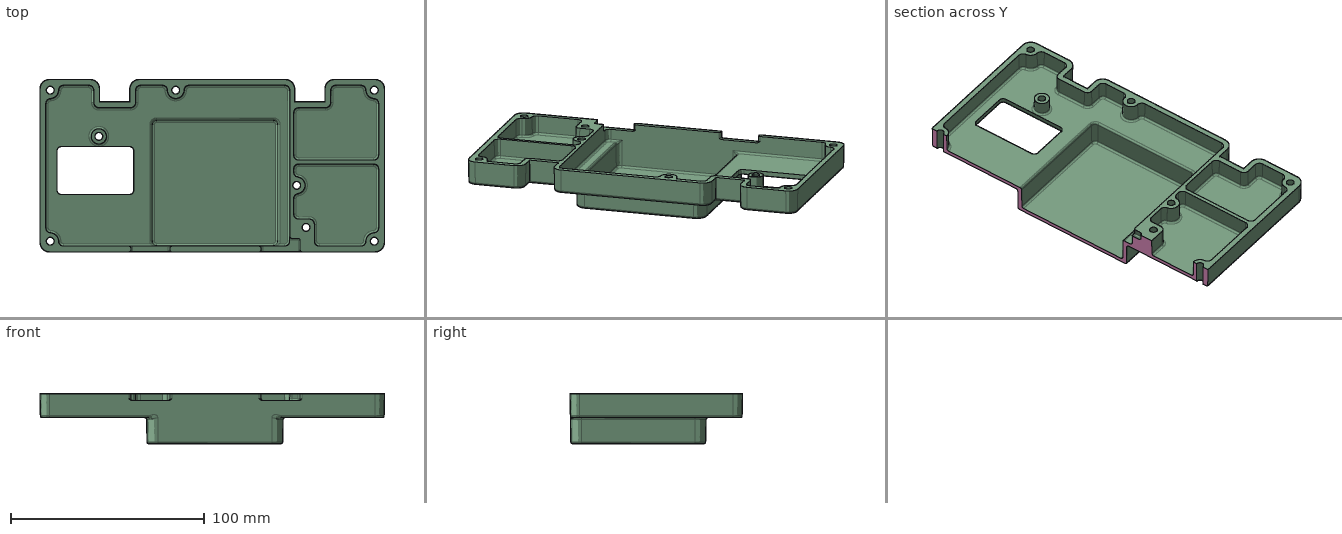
import cadquery as cq
length = 177.8
width = 89.0
total_height = 26.0
plate_height = 12.5

draft = 1.0
edge_round = 1.0
outer_corner = 5.0
pocket_corner = 2.7
wall = 3.0
divider = 2.0
floor = 2.5

notch_x = 50.3
notch_width = 15.5
notch_depth = 11.5

hole_diameter = 4.0
boss_radius = 4.3
corner_hole_x = 83.5
edge_hole_y = 39.0
corner_holes = [(x, y) for x in (-corner_hole_x, corner_hole_x) for y in (-edge_hole_y, edge_hole_y)]
back_hole = (-18.8, edge_hole_y)
divider_hole = (43.5, -10.1)
block_hole = (48.4, -31.8)

post_center = (-58.5, 15.1)
post_radius = 4.0
post_drop = 2.5

window_center = (-60.3, -2.5)
window_size = (40.0, 25.0)
window_corner = 2.5

well_left = -31.3
well_right = 34.1
well_back = 23.8
bulge_left = -34.1
bulge_right = 36.8
bulge_back = 26.0
bulge_corner = 6.0

main_right = 40.0
cross_divider_back = 2.8

opening_depth = 3.5
left_opening = (-42.0, -21.9)
right_opening = (25.2, 45.3)
right_opening_back = -37.5
stub_round = 1.0
opening_floor_round = 0.9

half_l = length / 2
half_w = width / 2
inner_x = half_l - wall
inner_y = half_w - wall
overrun = 1.8
left_opening_back = -inner_y + overrun
pocket_depth = plate_height - floor
well_depth = total_height - floor
right_pocket_left = main_right + divider


def rectangle(x0, x1, y0, y1):
    """Sketch of an upright rectangle given by its limits."""
    return cq.Sketch().push([((x0 + x1) / 2, (y0 + y1) / 2)]).rect(x1 - x0, y1 - y0).reset()


def cut_notch(sketch, x, clearance=0):
    """Take a notch, grown by a clearance, out of a sketch."""
    size = (notch_width + 2 * clearance, 2 * (notch_depth + clearance))
    return sketch.push([(x, half_w)]).rect(*size, mode="s").reset()


def drop(sketch, depth):
    """Solid running down from the rim and narrowing by the draft."""
    return cq.Workplane("XY").placeSketch(sketch).extrude(-depth, taper=draft)


def drop_straight(sketch, depth):
    """Solid running straight down from the rim."""
    return cq.Workplane("XY").placeSketch(sketch).extrude(-depth)


def plate():
    outline = rectangle(-half_l, half_l, -half_w, half_w)
    for x in (-notch_x, notch_x):
        outline = cut_notch(outline, x)
    outline = outline.vertices("<Y or >Y").fillet(outer_corner).reset()
    return drop(outline, plate_height)


def bulge():
    outline = rectangle(bulge_left, bulge_right, -half_w, bulge_back)
    return drop(outline.vertices().fillet(bulge_corner).reset(), total_height)


def edges_at_depth(body, depth, x0=-half_l, x1=half_l, y0=-half_w, y1=half_w):
    """Edges centred at a depth below the rim and within limits in plan."""
    slack = 0.09
    low = (x0, y0, -depth - slack)
    high = (x1, y1, -depth + slack)
    return body.edges(cq.selectors.BoxSelector(low, high))


def outer_body():
    """Plate and bulge with their undersides rounded and blended together."""
    body = plate().union(bulge())
    body = edges_at_depth(body, plate_height).fillet(edge_round)
    return body.faces("<Z").edges().fillet(edge_round)


def pocket(sketch, depth):
    """Pocket with rounded corners and a rounded floor edge."""
    outline = sketch.clean().vertices().fillet(pocket_corner).reset()
    return drop(outline, depth).faces("<Z").edges().fillet(edge_round)


def main_pocket():
    outline = cut_notch(rectangle(-inner_x, main_right, -inner_y, inner_y), -notch_x, wall)
    outline = outline.push(corner_holes + [back_hole]).circle(boss_radius, mode="s").reset()
    return pocket(outline, pocket_depth)


def well():
    outline = rectangle(well_left, well_right, -inner_y, well_back)
    return pocket(outline, well_depth)


def upper_pocket():
    outline = cut_notch(rectangle(right_pocket_left, inner_x, cross_divider_back, inner_y), notch_x, wall)
    outline = outline.push(corner_holes).circle(boss_radius, mode="s").reset()
    return pocket(outline, pocket_depth)


def lower_pocket():
    outline = rectangle(right_pocket_left, inner_x, -inner_y, cross_divider_back - divider)
    outline = outline.push(corner_holes + [divider_hole]).circle(boss_radius, mode="s").reset()
    block_length = block_hole[0] + boss_radius - right_pocket_left
    block_width = block_hole[1] + boss_radius + inner_y
    corner = [(right_pocket_left, -inner_y)]
    outline = outline.push(corner).rect(2 * block_length, 2 * block_width, mode="s").reset()
    return pocket(outline, pocket_depth)


def main_recess():
    """Main pocket and well joined, with the mouth of the well rounded over."""
    joined = main_pocket().union(well())
    front = -inner_y + edge_round
    mouth = edges_at_depth(joined, pocket_depth, well_left, well_right, front, well_back)
    return mouth.fillet(edge_round)


def add_post(body):
    """Stand the tapered post on the main floor and round its foot."""
    height = pocket_depth - post_drop
    top = cq.Workplane("XY", origin=(*post_center, -post_drop))
    body = body.union(top.circle(post_radius).extrude(-height, taper=-draft))
    x, y = post_center
    reach = post_radius + edge_round
    foot = edges_at_depth(body, pocket_depth, x - reach, x + reach, y - reach, y + reach)
    return foot.fillet(edge_round)


def cut_opening(body, limits, back):
    """Cut a cable opening through the -Y wall and soften the stubs it leaves."""
    x0, x1 = limits
    body = body.cut(drop_straight(rectangle(x0, x1, -half_w - overrun, back), opening_depth))
    around = (x0 - stub_round, x1 + stub_round, -half_w, back + stub_round)
    uprights = edges_at_depth(body, opening_depth / 2, *around)
    body = uprights.fillet(stub_round)
    for x in limits:
        around = (x - stub_round, x + stub_round, -half_w, back + stub_round)
        foot = edges_at_depth(body, opening_depth, *around)
        body = foot.fillet(opening_floor_round)
    return body


def window():
    outline = cq.Sketch().push([window_center]).rect(*window_size).reset()
    return drop(outline.vertices().fillet(window_corner).reset(), total_height)


def screw_holes():
    centers = corner_holes + [back_hole, divider_hole, block_hole, post_center]
    return cq.Workplane("XY").pushPoints(centers).circle(hole_diameter / 2).extrude(-total_height)


body = outer_body()
for recess in (main_recess(), upper_pocket(), lower_pocket()):
    body = body.cut(recess)

body = add_post(body)
body = cut_opening(body, left_opening, left_opening_back)
body = cut_opening(body, right_opening, right_opening_back)
result = body.cut(window()).cut(screw_holes())